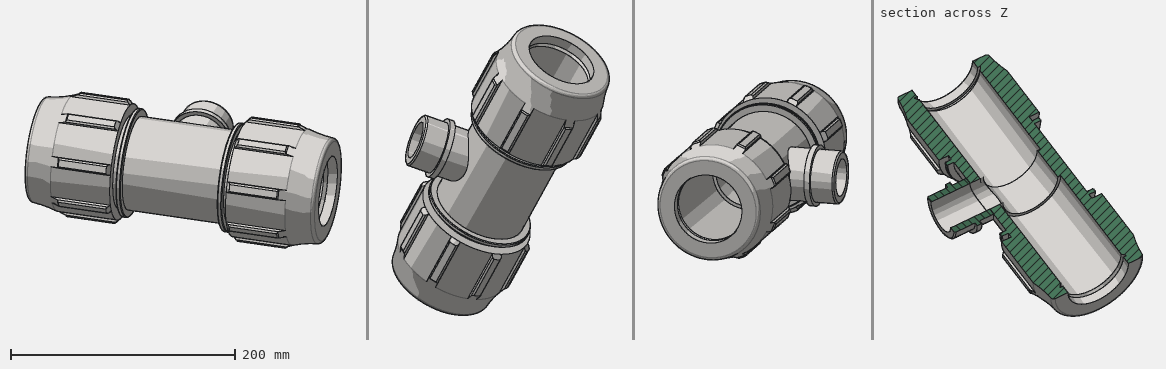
import cadquery as cq
import math

overall_length = 268.0
nut_length = 80.5
tube_diameter = 84.7
socket_diameter = 63.0
mouth_depth = 8.8
relief_diameter = 69.1
relief_length = 3.8

stop_diameter = 56.8
stop_width = 35.5
notch_width = 23.3
notch_depth = 0.8

collar_diameter = 98.4
collar_width = 4.3
collar_chamfer = 0.8
collar_center = 47.0

nut_diameter = 105.0
nose_face_diameter = 89.5
nose_diameter = 95.7
nose_round_length = 3.0
flare_middle_distance = 17.2
flare_middle_radius = 50.0
flare_end_distance = 32.0
flare_end_radius = 55.0

rib_count = 8
rib_top_radius = 56.3
rib_width = 9.5
rib_chamfer = 1.5
rib_front_slope = 1.0
rib_back_slope = 3.5

branch_diameter = 47.7
branch_bore_diameter = 33.5
branch_end = 83.0
branch_end_chamfer = 1.3
flange_diameter = 55.0
flange_start = 56.5
flange_width = 5.0

half_length = overall_length / 2
tube_radius = tube_diameter / 2
nut_radius = nut_diameter / 2
nut_inner_x = -half_length + nut_length


def x_cylinder(radius, start, length):
    """Cylinder around the X axis, growing towards +X from start."""
    return cq.Workplane("YZ", origin=(start, 0, 0)).circle(radius).extrude(length)


def y_cylinder(radius, start, length):
    """Cylinder around the Y axis, growing towards +Y from start."""
    return cq.Workplane("XZ", origin=(0, start, 0)).circle(radius).extrude(-length)


def nut_envelope():
    """Turned shape of the left nut, as if one rib ran all the way around it."""
    end = -half_length
    round_bulge = 1 - math.sqrt(0.5)
    nose_radius = nose_diameter / 2
    nose_face_radius = nose_face_diameter / 2
    round_middle = (
        end + nose_round_length * round_bulge,
        nose_radius - (nose_radius - nose_face_radius) * round_bulge,
    )
    return (
        cq.Workplane("XY")
        .moveTo(end, 0)
        .lineTo(end, nose_face_radius)
        .threePointArc(round_middle, (end + nose_round_length, nose_radius))
        .threePointArc(
            (end + flare_middle_distance, flare_middle_radius),
            (end + flare_end_distance, flare_end_radius),
        )
        .lineTo(end + flare_end_distance + rib_front_slope, rib_top_radius)
        .lineTo(nut_inner_x - rib_back_slope, rib_top_radius)
        .lineTo(nut_inner_x, nut_radius)
        .lineTo(nut_inner_x, 0)
        .close()
        .revolve(360, (0, 0, 0), (1, 0, 0))
    )


def rib_bar(angle):
    """Bar along X with the cross-section of one rib, reaching from the axis to the top of the rib."""
    bar = (
        cq.Workplane("YZ", origin=(-half_length, 0, rib_top_radius / 2))
        .rect(rib_width, rib_top_radius)
        .extrude(nut_length)
        .edges("|X and >Z")
        .chamfer(rib_chamfer)
    )
    return bar.rotate((0, 0, 0), (1, 0, 0), angle)


def make_nut():
    """Left nut: plain cylinder between the ribs, where the envelope is cut back."""
    pitch = 360 / rib_count
    keep = x_cylinder(nut_radius, -half_length, nut_length)
    for i in range(rib_count):
        keep = keep.union(rib_bar((i + 0.5) * pitch))
    return nut_envelope().intersect(keep)


def make_collar():
    """Chamfered ring around the left part of the tube."""
    ring = x_cylinder(collar_diameter / 2, -collar_center - collar_width / 2, collar_width)
    return ring.edges().chamfer(collar_chamfer)


def socket_cutter():
    """Pipe socket of the left end: straight mouth, tapered relief behind it, then straight to the stop."""
    mouth_end = -half_length + mouth_depth
    socket_radius = socket_diameter / 2
    socket = x_cylinder(socket_radius, -half_length, half_length - stop_width / 2)
    relief = (
        cq.Workplane("XY")
        .moveTo(mouth_end, 0)
        .lineTo(mouth_end, relief_diameter / 2)
        .lineTo(mouth_end + relief_length, socket_radius)
        .lineTo(mouth_end + relief_length, 0)
        .close()
        .revolve(360, (0, 0, 0), (1, 0, 0))
    )
    notch_sides = cq.Workplane("XY", origin=(0, socket_radius, 0))
    notch_sides = notch_sides.box(overall_length, socket_diameter, notch_width)
    notch = x_cylinder(socket_radius, -stop_width / 2, notch_depth).intersect(notch_sides)
    return socket.union(relief).union(notch)


def make_run():
    """Tube, both nuts and both collars in one solid, open from end to end."""
    run = x_cylinder(tube_radius, nut_inner_x, -2 * nut_inner_x)
    for side_part in (make_nut(), make_collar()):
        run = run.union(side_part).union(side_part.mirror("YZ"))
    run = run.cut(x_cylinder(stop_diameter / 2, -half_length, overall_length))
    socket = socket_cutter()
    run = run.cut(socket).cut(socket.mirror("YZ"))
    return run.cut(y_cylinder(branch_bore_diameter / 2, 0, branch_end))


def make_branch():
    """Flanged outlet tube whose foot is saddled onto the outside of the run's tube."""
    branch = y_cylinder(branch_diameter / 2, 0, branch_end)
    branch = branch.faces(">Y").edges().chamfer(branch_end_chamfer)
    branch = branch.union(y_cylinder(flange_diameter / 2, flange_start, flange_width))
    branch = branch.cut(y_cylinder(branch_bore_diameter / 2, 0, branch_end))
    return branch.cut(x_cylinder(tube_radius, -half_length, overall_length))


run = make_run()
branch = make_branch()

result = cq.Compound.makeCompound([run.val(), branch.val()])